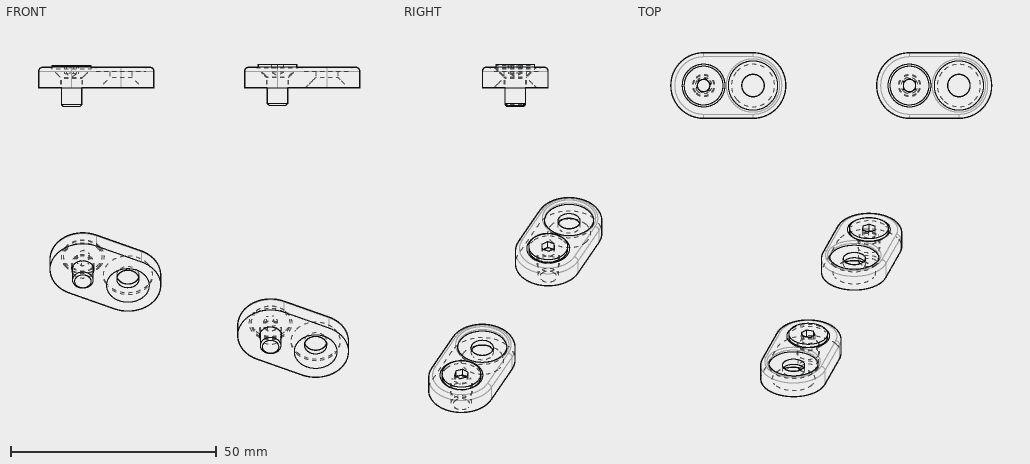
import cadquery as cq
import math

plate_width = 16.0
plate_thickness = 5.0
hole_spacing = 12.0
plate_pitch = 50.0
top_fillet = 1.0

clearance_diameter = 5.4
countersink_angle = 90.0
recess_diameter = 11.97
recess_depth = 1.0
recess_rim_fillet = 0.5

shank_diameter = 5.0
screw_length = 10.0
head_diameter = 9.43
head_cone_diameter = 11.2
shank_chamfer = 0.5
socket_sides = 6
socket_width = 3.0
socket_depth = 1.9
socket_point_angle = 120.0

seated_projection = 0.4
raised_gap = 0.28
raised_projection = seated_projection + raised_gap
socket_turns = (15.0, 30.0)

countersink_diameter = head_cone_diameter - 2 * seated_projection


def make_plate():
    """Plate with its screw hole on the Z axis and its bottom at Z = 0."""
    plate = (
        cq.Workplane("XY")
        .center(hole_spacing / 2, 0)
        .slot2D(hole_spacing + plate_width, plate_width)
        .extrude(plate_thickness)
        .faces(">Z")
        .edges()
        .fillet(top_fillet)
    )

    recess = (
        cq.Workplane("XY", origin=(hole_spacing, 0, plate_thickness))
        .circle(recess_diameter / 2)
        .extrude(-recess_depth)
    )
    plate = plate.cut(recess)
    smallest_radius = cq.selectors.RadiusNthSelector(0)
    plate = plate.faces(">Z").edges("%CIRCLE").edges(smallest_radius).fillet(recess_rim_fillet)

    plate = (
        plate.faces(">Z")
        .workplane(origin=(0, 0, plate_thickness))
        .cskHole(clearance_diameter, countersink_diameter, countersink_angle)
    )
    return (
        plate.faces("<Z")
        .workplane(origin=(hole_spacing, 0, 0))
        .cskHole(clearance_diameter, countersink_diameter, countersink_angle)
    )


def make_socket(turn):
    """Hexagonal socket below Z = 0 with a conical drill point at its bottom."""
    corner_diameter = socket_width / math.cos(math.pi / socket_sides)
    hexagon = (
        cq.Workplane("XY")
        .polygon(socket_sides, corner_diameter)
        .extrude(-socket_depth)
        .rotate((0, 0, 0), (0, 0, 1), turn)
    )
    point_radius = socket_width / 2
    point_depth = point_radius / math.tan(math.radians(socket_point_angle / 2))
    drill_point = cq.Workplane(
        cq.Solid.makeCone(point_radius, 0, point_depth, (0, 0, -socket_depth), (0, 0, -1))
    )
    return hexagon.union(drill_point)


def make_screw(turn):
    """Screw along the Z axis with the top of its head at Z = 0."""
    shank_radius = shank_diameter / 2
    head_radius = head_diameter / 2
    cone_radius = head_cone_diameter / 2
    profile = (
        cq.Workplane("XZ")
        .moveTo(0, 0)
        .lineTo(head_radius, 0)
        .lineTo(head_radius, head_radius - cone_radius)
        .lineTo(shank_radius, shank_radius - cone_radius)
        .lineTo(shank_radius, shank_chamfer - screw_length)
        .lineTo(shank_radius - shank_chamfer, -screw_length)
        .lineTo(0, -screw_length)
        .close()
    )
    return profile.revolve(360, (0, 0), (0, 1)).cut(make_socket(turn))


bodies = []
for index, projection in enumerate((seated_projection, raised_projection)):
    plate_x = index * plate_pitch
    plate = make_plate().translate((plate_x, 0, 0))
    screw = make_screw(socket_turns[index]).translate((plate_x, 0, plate_thickness + projection))
    bodies += [plate.solids().val(), screw.solids().val()]

result = cq.Compound.makeCompound(bodies)